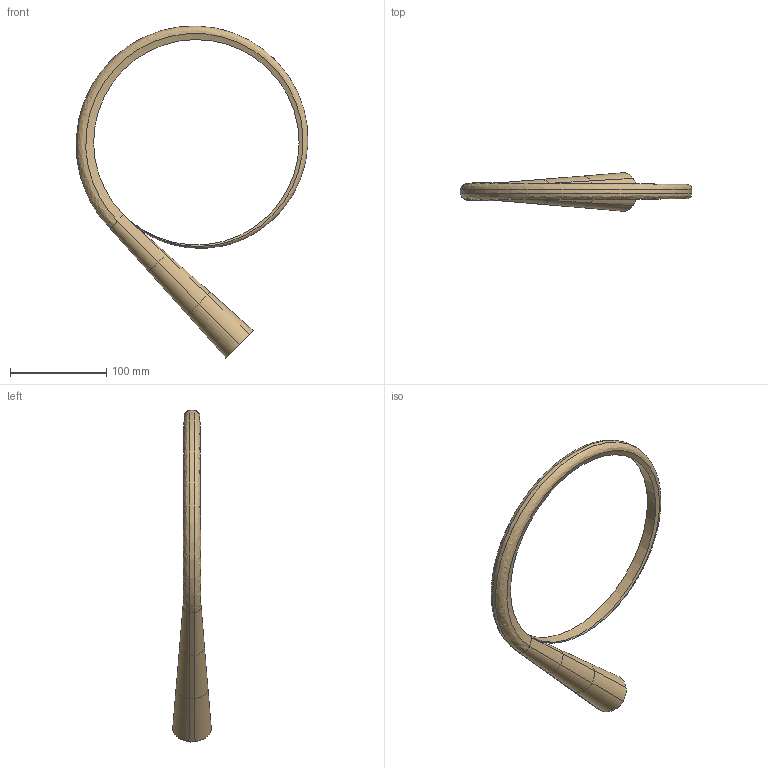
import cadquery as cq
import math

INNER_RADIUS = 106.6
TIP_ANGLE = -132.0
MOUTH_ANGLE = 225.0
RING_STEPS = 20
TIP_THICKNESS = 0.6
MOUTH_THICKNESS = 20.0
THICKNESS_BOW = 0.3
TIP_WIDTH = 12.6
MOUTH_WIDTH = 18.6

FLANK_SHARE = 0.45
FLANK_LEAN = 19.0
CREST_HALF_WIDTH = 2.15

BELL_LENGTH = 180.0
BELL_DIAMETER = 40.0
BELL_STAGES = 3
BELL_INNER_SPAN = 45.0
BELL_CREST_SPAN = 9.0

STRAIGHT_TOLERANCE = 1e-6


def ring_profile(thickness, width):
    """Corners and edge middles of the ring section, as (radial height, +Y half width) pairs."""
    flank = FLANK_SHARE * thickness
    half_width = width / 2
    base = half_width - flank * math.tan(math.radians(FLANK_LEAN))
    diagonal = math.sqrt(0.5)
    return [
        (0.0, 0.0),
        (0.0, base),
        (flank / 2, (base + half_width) / 2),
        (flank, half_width),
        (
            flank + diagonal * (thickness - flank),
            CREST_HALF_WIDTH + diagonal * (half_width - CREST_HALF_WIDTH),
        ),
        (thickness, CREST_HALF_WIDTH),
        (thickness, 0.0),
    ]


def rim_profile():
    """Matching points on the round rim of the bell, centred on the middle of the ring's end."""
    crest = 180 - BELL_CREST_SPAN
    angles = [
        0.0,
        BELL_INNER_SPAN,
        (BELL_INNER_SPAN + 90) / 2,
        90.0,
        (90 + crest) / 2,
        crest,
        180.0,
    ]
    radius = BELL_DIAMETER / 2
    return [
        (
            MOUTH_THICKNESS / 2 - radius * math.cos(math.radians(angle)),
            radius * math.sin(math.radians(angle)),
        )
        for angle in angles
    ]


def blend(start, end, share):
    """Profile lying the given share of the way from one profile to another."""
    return [
        (a[0] + share * (b[0] - a[0]), a[1] + share * (b[1] - a[1]))
        for a, b in zip(start, end)
    ]


def section(profile, angle, advance=0.0):
    """Closed wire of a mirrored profile at a ring angle, moved along the tangent by advance."""
    cosine = math.cos(math.radians(angle))
    sine = math.sin(math.radians(angle))

    def place(point, side):
        reach = INNER_RADIUS + point[0]
        return cq.Vector(
            reach * cosine - advance * sine,
            side * point[1],
            reach * sine + advance * cosine,
        )

    near = [place(point, -1) for point in profile]
    far = [place(point, 1) for point in profile]

    def edge(start, middle, end):
        bulge = (middle - (start + end) * 0.5).Length
        if bulge < STRAIGHT_TOLERANCE:
            return cq.Edge.makeLine(start, end)
        return cq.Edge.makeThreePointArc(start, middle, end)

    around = far + near[-2:0:-1]
    count = len(around)
    edges = [
        edge(around[i], around[(i + 1) % count], around[(i + 2) % count])
        for i in range(1, count, 2)
    ]
    return cq.Wire.assembleEdges(edges)


def make_ring():
    """Smooth skin through sections that grow from the tip to the mouth."""
    wires = []
    for step in range(RING_STEPS + 1):
        share = step / RING_STEPS
        growth = share * (1 + THICKNESS_BOW * (1 - share))
        thickness = TIP_THICKNESS + (MOUTH_THICKNESS - TIP_THICKNESS) * growth
        width = TIP_WIDTH + (MOUTH_WIDTH - TIP_WIDTH) * share
        angle = TIP_ANGLE + (MOUTH_ANGLE - TIP_ANGLE) * share
        wires.append(section(ring_profile(thickness, width), angle))
    return cq.Solid.makeLoft(wires)


def make_bell():
    """Straight flare whose section turns from the ring's into a circle."""
    mouth = ring_profile(MOUTH_THICKNESS, MOUTH_WIDTH)
    rim = rim_profile()
    wires = []
    for stage in range(BELL_STAGES + 1):
        share = stage / BELL_STAGES
        wires.append(section(blend(mouth, rim, share), MOUTH_ANGLE, BELL_LENGTH * share))
    return cq.Solid.makeLoft(wires, ruled=True)


result = cq.Workplane(make_ring()).union(make_bell())